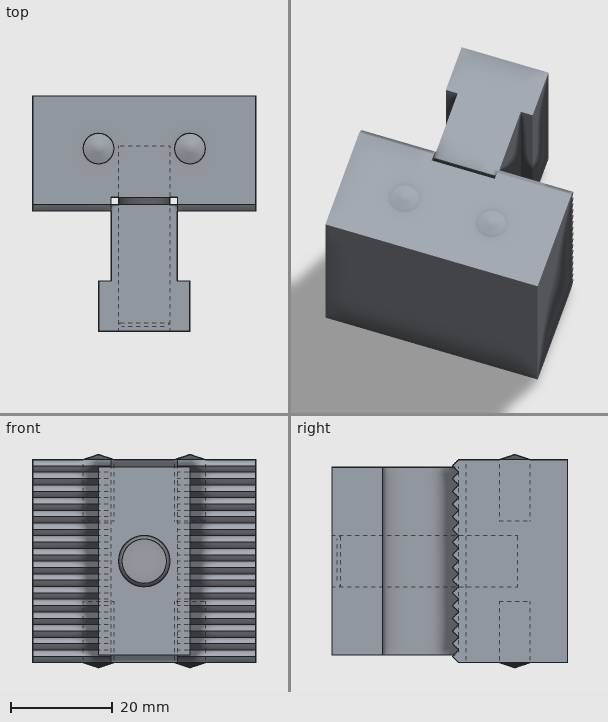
import cadquery as cq

JAW_WIDTH = 44.0
JAW_HEIGHT = 40.0
TOOTH_COUNT = 16
TOOTH_PITCH = JAW_HEIGHT / TOOTH_COUNT
TOOTH_DEPTH = TOOTH_PITCH / 2
JAW_ROOT_DEPTH = 21.45
JAW_TIP_DEPTH = JAW_ROOT_DEPTH + TOOTH_DEPTH
SLOT_FLOOR_DEPTH = 20.0

NUT_FRONT_DEPTH = 46.4
NUT_HEIGHT = 37.0
NECK_WIDTH = 13.1
NECK_START_DEPTH = JAW_ROOT_DEPTH
FOOT_WIDTH = 18.0
FOOT_THICKNESS = 9.98

SCREW_DIAMETER = 10.1
SCREW_RADIUS = SCREW_DIAMETER / 2
SCREW_CHAMFER = 0.7
SCREW_RECESS = 1.0
SCREW_ENGAGEMENT = SCREW_DIAMETER

PIN_RADIUS = 3.0
PIN_TIP_SPAN = 42.0
PIN_TIP_HEIGHT = (PIN_TIP_SPAN - JAW_HEIGHT) / 2
PIN_ENGAGEMENT = 12.05
PIN_SPACING = 18.0
PIN_DEPTH = 10.4


def y_cylinder(radius, y_start, y_end):
    """Solid cylinder on the Y axis between two Y positions."""
    return cq.Workplane("XZ", origin=(0, y_start, 0)).circle(radius).extrude(y_start - y_end)


def make_jaw_blank():
    """Block with a sawtooth front, each tooth rising from root to tip and back to root."""
    top = JAW_HEIGHT / 2
    outline = [(0, -top), (0, top), (-JAW_ROOT_DEPTH, top)]
    for tooth in range(TOOTH_COUNT):
        tooth_top = top - tooth * TOOTH_PITCH
        outline.append((-JAW_TIP_DEPTH, tooth_top - TOOTH_PITCH / 2))
        outline.append((-JAW_ROOT_DEPTH, tooth_top - TOOTH_PITCH))
    return cq.Workplane("YZ").polyline(outline).close().extrude(JAW_WIDTH / 2, both=True)


def make_key_slot():
    """Cutter for the vertical slot that takes the neck of the nut."""
    slot_depth = JAW_TIP_DEPTH - SLOT_FLOOR_DEPTH
    slot_centre_y = -(JAW_TIP_DEPTH + SLOT_FLOOR_DEPTH) / 2
    return cq.Workplane("XY").box(NECK_WIDTH, slot_depth, JAW_HEIGHT).translate((0, slot_centre_y, 0))


def make_nut():
    """T-nut with a through hole for the screw."""
    shoulder_y = FOOT_THICKNESS - NUT_FRONT_DEPTH
    outline = [
        (NECK_WIDTH / 2, -NECK_START_DEPTH),
        (NECK_WIDTH / 2, shoulder_y),
        (FOOT_WIDTH / 2, shoulder_y),
        (FOOT_WIDTH / 2, -NUT_FRONT_DEPTH),
    ]
    mirrored = [(-x, y) for x, y in reversed(outline)]
    nut = cq.Workplane("XY").polyline(outline + mirrored).close().extrude(NUT_HEIGHT / 2, both=True)
    return nut.cut(y_cylinder(SCREW_RADIUS, -NECK_START_DEPTH, -NUT_FRONT_DEPTH))


def make_screw():
    """Plain screw with a chamfered end, set below the front of the nut."""
    inner_end_y = SCREW_ENGAGEMENT - SLOT_FLOOR_DEPTH
    outer_end_y = SCREW_RECESS - NUT_FRONT_DEPTH
    screw = y_cylinder(SCREW_RADIUS, inner_end_y, outer_end_y)
    return screw.faces("<Y").chamfer(SCREW_CHAMFER)


def make_pin(x, side):
    """Pin at the given X; side is +1 for the top face and -1 for the bottom face."""
    half_profile = [
        (0, -PIN_ENGAGEMENT),
        (PIN_RADIUS, -PIN_ENGAGEMENT),
        (PIN_RADIUS, 0),
        (0, PIN_TIP_HEIGHT),
    ]
    pin = cq.Workplane("XZ").polyline(half_profile).close().revolve(360, (0, 0), (0, 1))
    if side < 0:
        pin = pin.rotate((0, 0, 0), (1, 0, 0), 180)
    return pin.translate((x, -PIN_DEPTH, side * JAW_HEIGHT / 2))


nut = make_nut()
screw = make_screw()
pins = [make_pin(x, side) for x in (-PIN_SPACING / 2, PIN_SPACING / 2) for side in (1, -1)]

jaw = make_jaw_blank().cut(make_key_slot()).cut(screw)
for pin in pins:
    jaw = jaw.cut(pin)

result = cq.Compound.makeCompound([jaw.val(), nut.val(), screw.val(), *[pin.val() for pin in pins]])